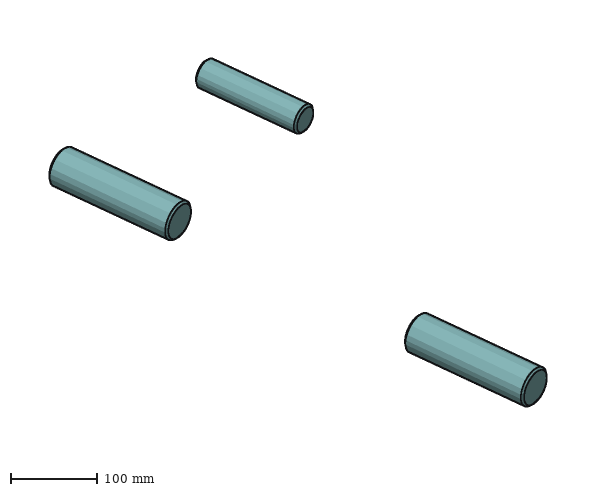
import cadquery as cq

overall_length = 686.0
overall_depth = 128.0
overall_height = 370.0

lower_diameter = 50.0
lower_length = 172.0
lower_chamfer = 3.0

upper_diameter = 38.0
upper_length = 146.0
upper_chamfer = 3.0
upper_start_x = 269.5

axis_margin = (lower_diameter + upper_diameter) / 2
upper_axis_y = -(overall_depth - axis_margin)
upper_axis_z = overall_height - axis_margin


def chamfered_pin(diameter, length, chamfer, start):
    """Round pin along +X from its start point, chamfered at both ends."""
    return (
        cq.Workplane("YZ", origin=start)
        .circle(diameter / 2)
        .extrude(length)
        .faces("<X or >X")
        .chamfer(chamfer)
    )


lower_pins = []
for start_x in (0, overall_length - lower_length):
    pin = chamfered_pin(lower_diameter, lower_length, lower_chamfer, (start_x, 0, 0))
    lower_pins.append(pin.val())

upper_pin = chamfered_pin(
    upper_diameter,
    upper_length,
    upper_chamfer,
    (upper_start_x, upper_axis_y, upper_axis_z),
)

result = cq.Compound.makeCompound([*lower_pins, upper_pin.val()])